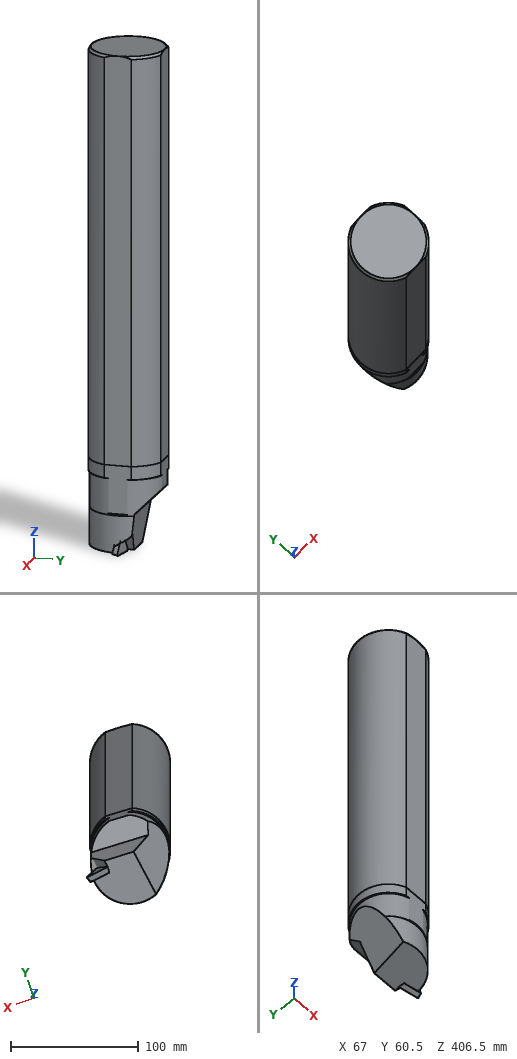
import cadquery as cq
import math

TOTAL_LENGTH = 406.5
HEAD_BOTTOM = 1.2
TIP_TOP = 31.5
FLAT_BOTTOM = 33.0
NECK_TOP = 61.5
SHANK_BOTTOM = 72.5

SHANK_RADIUS = 31.5
NECK_RADIUS = 30.7
TIP_RADIUS = 31.0
FLAT_DISTANCE = 29.5
END_CHAMFER = 2.0

RELIEF_ANGLE = 23.0
RELIEF_TURN = 10.0
RELIEF_TOP = 55.5

POCKET_TOP = 49.0
POCKET_CORNER_Y = 13.0
POCKET_CORNER_Z = 33.0
POCKET_BOTTOM_Y = 9.8

INSERT_SIDE = 20.5
INSERT_NOSE_RADIUS = 1.2
INSERT_TIP_X = 35.5
INSERT_TIP_Y = 1.2
INSERT_TURN = 10.0
INSERT_THICKNESS = 5.0
INSERT_TAPER = 11.0

CUT_SIZE = 4 * SHANK_RADIUS


def cylinder(radius, bottom, top):
    """Round section about the Z axis."""
    return cq.Workplane("XY").workplane(offset=bottom).circle(radius).extrude(top - bottom)


def cut_flats(body, bottom):
    """Cut flats facing +X, +Y and -Y into everything above the given height."""
    for angle in (-90, 0, 90):
        cutter = (
            cq.Workplane("XY")
            .box(CUT_SIZE, CUT_SIZE, TOTAL_LENGTH, centered=(False, True, False))
            .translate((FLAT_DISTANCE, 0, bottom))
            .rotate((0, 0, 0), (0, 0, 1), angle)
        )
        body = body.cut(cutter)
    return body


def make_shank():
    shank = cylinder(SHANK_RADIUS, SHANK_BOTTOM, TOTAL_LENGTH)
    shank = shank.faces(">Z").chamfer(END_CHAMFER)
    return cut_flats(shank, SHANK_BOTTOM)


def make_relief_cutter():
    """Wedge outside the sloping plane, turned so that its high point leans toward +Y."""
    inward = RELIEF_TOP * math.tan(math.radians(RELIEF_ANGLE))
    return (
        cq.Workplane("XZ")
        .polyline([
            (-NECK_RADIUS, RELIEF_TOP),
            (-NECK_RADIUS + inward, 0),
            (-CUT_SIZE, 0),
            (-CUT_SIZE, RELIEF_TOP),
        ])
        .close()
        .extrude(CUT_SIZE, both=True)
        .rotate((0, 0, 0), (0, 0, 1), -RELIEF_TURN)
    )


def make_pocket_cutter():
    """Chip pocket, running through the head along X."""
    return (
        cq.Workplane("YZ")
        .polyline([
            (FLAT_DISTANCE, POCKET_TOP),
            (POCKET_CORNER_Y, POCKET_CORNER_Z),
            (POCKET_BOTTOM_Y, HEAD_BOTTOM),
            (CUT_SIZE, HEAD_BOTTOM),
            (CUT_SIZE, POCKET_TOP),
        ])
        .close()
        .extrude(CUT_SIZE, both=True)
    )


def insert_outline():
    """Rounded triangle with one side along the bottom, on the plane of the insert's cutting face."""
    turn = math.radians(INSERT_TURN)
    face = cq.Plane(
        origin=(INSERT_TIP_X, INSERT_TIP_Y, 0),
        xDir=(math.cos(turn), -math.sin(turn), 0),
        normal=(-math.sin(turn), -math.cos(turn), 0),
    )
    sharp_tip = (math.sqrt(3) - 1) * INSERT_NOSE_RADIUS
    triangle = (
        cq.Sketch()
        .polygon([
            (sharp_tip, 0),
            (sharp_tip - INSERT_SIDE / 2, INSERT_SIDE * math.sqrt(3) / 2),
            (sharp_tip - INSERT_SIDE, 0),
            (sharp_tip, 0),
        ])
        .vertices()
        .fillet(INSERT_NOSE_RADIUS)
    )
    return cq.Workplane(face).placeSketch(triangle)


def make_insert():
    return insert_outline().extrude(INSERT_THICKNESS, taper=INSERT_TAPER)


def make_head(insert):
    tip = cylinder(TIP_RADIUS, HEAD_BOTTOM, TIP_TOP)
    neck = cylinder(NECK_RADIUS, TIP_TOP, NECK_TOP)
    collar = cylinder(SHANK_RADIUS, NECK_TOP, SHANK_BOTTOM)
    head = cut_flats(tip.union(neck).union(collar), FLAT_BOTTOM)
    head = head.cut(make_relief_cutter()).cut(make_pocket_cutter())
    opening = insert_outline().extrude(-CUT_SIZE)
    return head.cut(insert).cut(opening)


shank = make_shank()
insert = make_insert()
head = make_head(insert)

result = cq.Compound.makeCompound([shank.val(), head.val(), insert.val()])